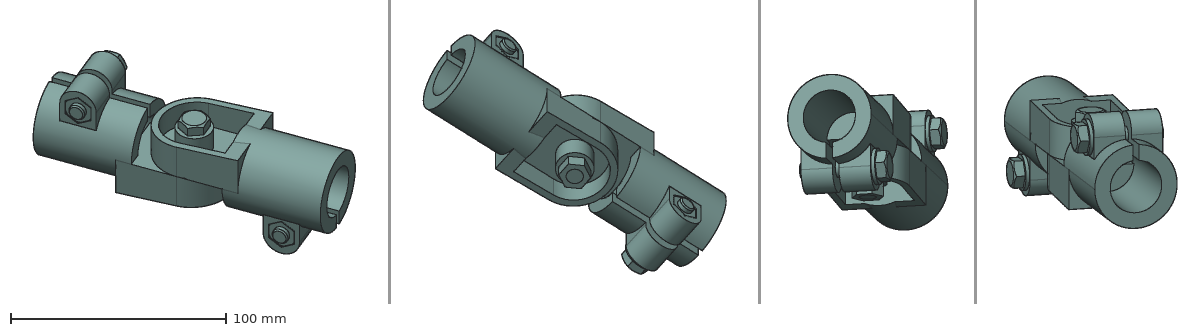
import cadquery as cq
import math


total_length = 146.0
tube_radius = 20.0
bore_radius = 25.0 / 2
tube_length = 50.0
bore_floor_depth = 45.0
slot_width = 3.0
tube_outer_x = -total_length / 2
tube_inner_x = tube_outer_x + tube_length

arm_radius = tube_radius
arm_back_x = -31.1
arm_back_height = 19.1
arm_tip_height = 16.0
arm_wall = 3.5
arm_floor = 4.0
boss_radius = 18.0 / 2
boss_height = 15.0

lug_x = -51.7
lug_radius = 18.5 / 2
lug_top_z = 62.0 / 2
lug_bottom_z = 11.2
lug_half_length = 16.6

hex_flats = 13.0
hex_corners = hex_flats / math.cos(math.radians(30))
shank_radius = 8.0 / 2
head_height = 5.3
head_top_radius = 11.5 / 2
chamfer_slope = math.tan(math.radians(30))
pivot_nut_height = 6.4

clamp_bolt_z = tube_radius
washer_radius = 17.0 / 2
washer_thickness = 1.8
clamp_head_turn = 30
tip_length = 2.2
tip_radius = 6.7 / 2
tip_chamfer = 0.7
clamp_nut_height = 6.4
nut_recess = 0.6
nut_face_radius = 13.9 / 2


def hex_prism(height):
    """Hexagon standing on z = 0, with corners on the Y axis."""
    return cq.Workplane("XY").polygon(6, hex_corners).extrude(height).rotate((0, 0, 0), (0, 0, 1), 30)


def chamfered_hex(height, face_radius):
    """Hexagon on z = 0 whose upper corners are turned down by a 30 degree cone."""
    corner_radius = hex_corners / 2
    corner_drop = (corner_radius - face_radius) * chamfer_slope
    turned_blank = (
        cq.Workplane("XZ")
        .moveTo(0, 0)
        .lineTo(corner_radius, 0)
        .lineTo(corner_radius, height - corner_drop)
        .lineTo(face_radius, height)
        .lineTo(0, height)
        .close()
        .revolve(360, (0, 0, 0), (0, 1, 0))
    )
    return hex_prism(height).intersect(turned_blank)


def clamp_tube():
    """Solid round bar that carries the clamp lug."""
    bar = cq.Workplane("YZ", origin=(tube_outer_x, 0, 0)).circle(tube_radius).extrude(tube_length)
    arc_z = lug_top_z - lug_radius
    lug = (
        cq.Workplane("XZ")
        .moveTo(lug_x - lug_radius, lug_bottom_z)
        .lineTo(lug_x + lug_radius, lug_bottom_z)
        .lineTo(lug_x + lug_radius, arc_z)
        .threePointArc((lug_x, lug_top_z), (lug_x - lug_radius, arc_z))
        .close()
        .extrude(lug_half_length, both=True)
    )
    return bar.union(lug)


def bore_and_slot():
    """Bore, blind below the joint plane and through above it, with the clamping slot over it."""
    bore = cq.Workplane("YZ").circle(bore_radius).extrude(tube_length)
    bore_floor = (
        cq.Workplane("XY")
        .box(tube_length - bore_floor_depth, 2 * bore_radius, bore_radius, centered=(False, True, False))
        .translate((bore_floor_depth, 0, -bore_radius))
    )
    slot = cq.Workplane("XY").box(tube_length, slot_width, lug_top_z, centered=(False, True, False))
    return bore.cut(bore_floor).union(slot).translate((tube_outer_x, 0, 0))


def arm_outline(back_x, radius):
    """Downward prism, square at back_x and rounded about the pivot."""
    return (
        cq.Workplane("XY")
        .moveTo(back_x, -radius)
        .lineTo(0, -radius)
        .threePointArc((radius, 0), (0, radius))
        .lineTo(back_x, radius)
        .close()
        .extrude(-arm_back_height)
    )


def hinge_arm():
    sloped_side = (
        cq.Workplane("XZ")
        .moveTo(arm_back_x, 0)
        .lineTo(arm_radius, 0)
        .lineTo(arm_radius, -arm_tip_height)
        .lineTo(arm_back_x, -arm_back_height)
        .close()
        .extrude(arm_radius, both=True)
    )
    arm = arm_outline(arm_back_x, arm_radius).intersect(sloped_side)
    pocket = arm_outline(tube_inner_x, arm_radius - arm_wall).translate((0, 0, -arm_floor))
    boss = cq.Workplane("XY").circle(boss_radius).extrude(-boss_height)
    pivot_hole = cq.Workplane("XY").circle(shank_radius).extrude(-boss_height)
    return arm.cut(pocket).union(boss).cut(pivot_hole)


def clamp_bolt():
    """Clamp bolt with washer and recessed nut, its axis on Z and the lug centred on z = 0."""
    tip_end = lug_half_length + tip_length
    washer_top = lug_half_length + washer_thickness
    shank = (
        cq.Workplane("XZ")
        .moveTo(0, washer_top)
        .lineTo(shank_radius, washer_top)
        .lineTo(shank_radius, -tip_end + tip_chamfer)
        .lineTo(tip_radius, -tip_end)
        .lineTo(0, -tip_end)
        .close()
        .revolve(360, (0, 0, 0), (0, 1, 0))
    )
    washer = cq.Workplane("XY").circle(washer_radius).extrude(washer_thickness)
    washer = washer.translate((0, 0, lug_half_length))
    head = (
        chamfered_hex(head_height, head_top_radius)
        .rotate((0, 0, 0), (0, 0, 1), clamp_head_turn)
        .translate((0, 0, washer_top))
    )
    nut_base = -lug_half_length + nut_recess + clamp_nut_height
    nut = (
        chamfered_hex(clamp_nut_height, nut_face_radius)
        .rotate((0, 0, 0), (1, 0, 0), 180)
        .translate((0, 0, nut_base))
    )
    return shank.union(washer).union(head).union(nut)


def place_in_lug(body):
    """Turn a body from the Z axis onto the clamp bolt axis, with its upper end at +Y."""
    return body.rotate((0, 0, 0), (1, 0, 0), -90).translate((lug_x, 0, clamp_bolt_z))


def clamp_half():
    """Tube, lug and hinge arm in one piece with the clamp bolt."""
    nut_pocket = hex_prism(clamp_nut_height + nut_recess).translate((0, 0, -lug_half_length))
    body = clamp_tube().union(hinge_arm())
    body = body.cut(bore_and_slot()).cut(place_in_lug(nut_pocket))
    return body.union(place_in_lug(clamp_bolt()))


def pivot_bolt():
    """Hinge bolt: head on the upper boss, shank down to the outer face of the nut."""
    shank = cq.Workplane("XY", origin=(0, 0, boss_height)).circle(shank_radius)
    shank = shank.extrude(-2 * boss_height - pivot_nut_height)
    head = chamfered_hex(head_height, head_top_radius).translate((0, 0, boss_height))
    return shank.union(head)


def pivot_nut():
    """Plain hexagon nut against the lower boss."""
    nut = hex_prism(pivot_nut_height).translate((0, 0, -boss_height - pivot_nut_height))
    bolt_hole = cq.Workplane("XY").circle(shank_radius).extrude(-boss_height - pivot_nut_height)
    return nut.cut(bolt_hole)


clamp_halves = [clamp_half().rotate((0, 0, 0), (0, 1, 0), turn).val() for turn in (0, 180)]
result = cq.Compound.makeCompound([*clamp_halves, pivot_bolt().val(), pivot_nut().val()])